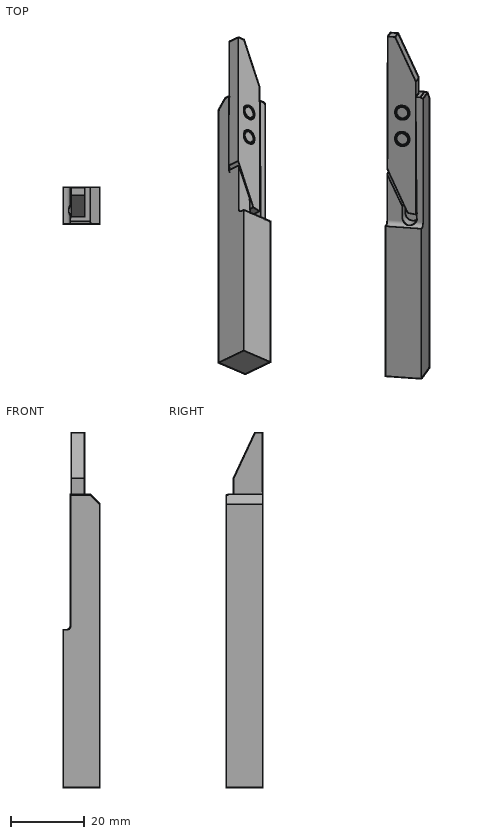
import cadquery as cq

length = 96.6
width = 10.0
holder_top = 79.9
shelf_height = 43.0
relief_depth = 2.0
shelf_fillet = 1.2
corner_chamfer = 2.7
front_bevel_depth = 0.8
front_bevel_drop = 0.3

blade_inset = 0.2
blade_thickness = 3.7
blade_left = relief_depth + blade_inset
blade_right = blade_left + blade_thickness
blade_front = 2.0
tip_back = 9.95
tip_front = 7.8
nose_base = 84.2
blade_bottom = 46.2
heel_y = 4.3
heel_height = 46.6
blade_ramp_top = 58.7

pocket_round_y = 3.8
pocket_radius = 2.0
pocket_round_z = 45.2
pocket_ramp_bottom = 48.4
pocket_ramp_top = 57.3

pin_y = 5.9
pin_heights = (67.5, 75.1)
pin_radius = 1.6
pin_hole_radius = 2.0
groove_depth = 0.5


def make_holder():
    """Square shank with a relieved left side and bevelled upper end."""
    outline = (
        cq.Workplane("XZ")
        .moveTo(0, 0)
        .lineTo(width, 0)
        .lineTo(width, holder_top - corner_chamfer)
        .lineTo(width - corner_chamfer, holder_top)
        .lineTo(relief_depth, holder_top)
        .lineTo(relief_depth, shelf_height + shelf_fillet)
        .radiusArc((relief_depth - shelf_fillet, shelf_height), shelf_fillet)
        .lineTo(0, shelf_height)
        .close()
    )
    holder = outline.extrude(-width)
    bevel = (
        cq.Workplane("YZ")
        .moveTo(0, holder_top - front_bevel_drop)
        .lineTo(front_bevel_depth, holder_top)
        .lineTo(0, holder_top)
        .close()
        .extrude(width)
    )
    return holder.cut(bevel)


def make_pocket():
    """Seat open to the left, back and top."""
    pocket_front = pocket_round_y - pocket_radius
    pocket_back = pocket_round_y + pocket_radius
    return (
        cq.Workplane("YZ")
        .moveTo(blade_front, holder_top)
        .lineTo(pocket_front, pocket_round_z)
        .threePointArc(
            (pocket_round_y, pocket_round_z - pocket_radius),
            (pocket_back, pocket_round_z),
        )
        .lineTo(pocket_back, pocket_ramp_bottom)
        .lineTo(width, pocket_ramp_top)
        .lineTo(width, holder_top)
        .close()
        .extrude(blade_right)
    )


def make_blade():
    """Flat blade with a sloped nose, seated against the pocket floor."""
    return (
        cq.Workplane("YZ", origin=(blade_left, 0, 0))
        .moveTo(blade_front, blade_bottom)
        .lineTo(heel_y, heel_height)
        .lineTo(width, blade_ramp_top)
        .lineTo(tip_back, length)
        .lineTo(tip_front, length)
        .lineTo(blade_front, nose_base)
        .close()
        .extrude(blade_thickness)
    )


def make_pin_grooves():
    return (
        cq.Workplane("YZ", origin=(blade_left, 0, 0))
        .pushPoints([(pin_y, height) for height in pin_heights])
        .circle(pin_hole_radius)
        .circle(pin_radius)
        .extrude(groove_depth)
    )


blade = make_blade().cut(make_pin_grooves())
result = make_holder().cut(make_pocket()).union(blade)